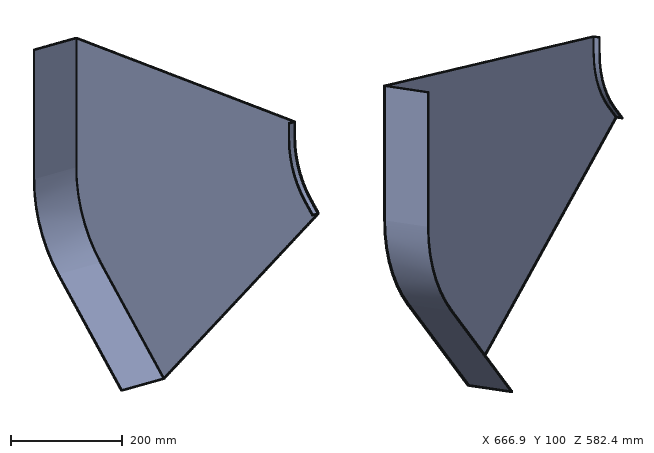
import cadquery as cq
import math

edge_length = 602.0
flange_depth = 100.0
lip_depth = 14.0
sheet = 1.0
bend_angle = math.radians(45)

outer_straight = 245.5
outer_radius = 231.0
inner_straight = 30.0
inner_radius = 149.0

TOP_Z = 0.0


def bend_points(start_x, straight, radius):
    """Points where a side starts, begins to bend, is half bent, ends bending and stops."""
    center_x = start_x + radius
    bend_z = TOP_Z - straight

    def on_arc(angle):
        return (center_x - radius * math.cos(angle), bend_z - radius * math.sin(angle))

    end_x, end_z = on_arc(bend_angle)
    tip = (end_x + straight * math.sin(bend_angle), end_z - straight * math.cos(bend_angle))
    return [(start_x, TOP_Z), (start_x, bend_z), on_arc(bend_angle / 2), (end_x, end_z), tip]


def strip_between(left, right, depth):
    """Solid between two bent sides, extruded from Y = 0 toward -Y."""
    return (
        cq.Workplane("XZ")
        .moveTo(*left[0])
        .lineTo(*left[1])
        .threePointArc(left[2], left[3])
        .lineTo(*left[4])
        .lineTo(*right[4])
        .lineTo(*right[3])
        .threePointArc(right[2], right[1])
        .lineTo(*right[0])
        .close()
        .extrude(depth)
    )


def flange(start_x, straight, radius, depth):
    """Sheet strip following a bent side; its thickness lies on the +X side of start_x."""
    near = bend_points(start_x, straight, radius)
    far = bend_points(start_x + sheet, straight, radius - sheet)
    return strip_between(near, far, depth)


outer_side = bend_points(0, outer_straight, outer_radius)
inner_side = bend_points(edge_length, inner_straight, inner_radius)
plate = strip_between(outer_side, inner_side, sheet)

outer_flange = flange(0, outer_straight, outer_radius, flange_depth)
inner_flange = flange(edge_length - sheet, inner_straight, inner_radius + sheet, lip_depth)

result = plate.union(outer_flange).union(inner_flange)